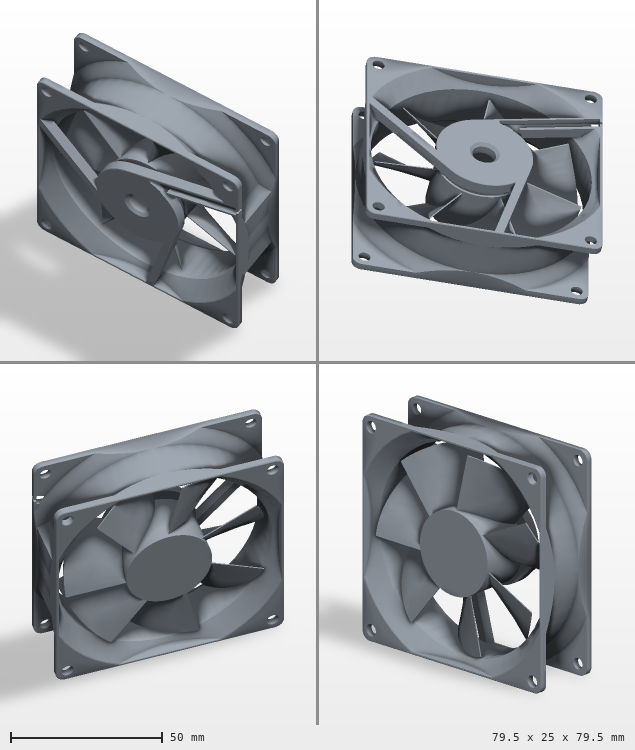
import cadquery as cq
import math

SIDE = 79.5
DEPTH = 25.0
FLANGE_THICKNESS = 2.5
CORNER_RADIUS = 3.2
EDGE_CHAMFER = 0.2
RIM_CHAMFER = 0.15
HALF_DEPTH = DEPTH / 2
FLANGE_INNER = HALF_DEPTH - FLANGE_THICKNESS

DUCT_OUTER_RADIUS = SIDE / 2
DUCT_INNER_RADIUS = 74.5 / 2
DUCT_STRAIGHT = 5.9
FLARE_OUTER_RADIUS = 43.8
MOUTH_RADIUS = 42.8
MOUTH_FLAT = 38.8
THROAT_HALF = HALF_DEPTH - (MOUTH_RADIUS - DUCT_INNER_RADIUS)

HOLE_DIAMETER = 4.0
HOLE_OFFSET = 35.8

PAD_FACE = 39.5
PAD_INNER = 35.8
PAD_FLANK_START = math.sqrt(DUCT_OUTER_RADIUS**2 - PAD_INNER**2)
PAD_HALF_HEIGHT = PAD_FLANK_START - (PAD_FACE - PAD_INNER)

PLATE_RADIUS = 16.3
PLATE_THICKNESS = 3.7
BORE_DIAMETER = 8.0
BORE_MOUTH_DIAMETER = 10.2
STRUT_WIDTH = 2.95
STRUT_REACH = SIDE
STRUT_ANGLES = (135.0, 255.0)

CABLE_ANGLE = 15.0
CABLE_STRUT_WIDTH = 5.6
CHANNEL_WALL = 0.95
CHANNEL_DEPTH = 2.0
CHANNEL_START = 9.1
CHANNEL_HUB_RADIUS = 16.7
LOWER_WALL_START = 15.1
NOTCH_END = 38.9
NOTCH_MOUTH_Z = 24.25
NOTCH_MOUTH_HEIGHT = 1.0
NOTCH_MOUTH_OVERRUN = 0.4

CUP_DIAMETER = 30.0
CUP_INNER_DIAMETER = 28.4
CUP_FRONT = -6.05
CUP_BACK = 11.45
CUP_FLOOR = 0.8
BLADE_COUNT = 7
BLADE_TIP_RADIUS = 35.8
BLADE_MID_ANGLE = 66.0
BLADE_SPREAD = 14.3
BLADE_EDGE_OFFSET = 3.2
BLADE_FRONT = -5.2
BLADE_BACK = 10.3
BLADE_SAG = 2.4
BLADE_THICKNESS = 0.5
BLADE_ROOT_RADIUS = (CUP_DIAMETER + CUP_INNER_DIAMETER) / 4
BLADE_LOFT_START = CUP_INNER_DIAMETER / 3
BLADE_LOFT_END = BLADE_TIP_RADIUS + 0.8


def cylinder(radius, y_start, y_end):
    """Cylinder on the Y axis."""
    return cq.Workplane("XZ", origin=(0, y_start, 0)).circle(radius).extrude(y_start - y_end)


def box(x_size, z_size, y_start, y_end):
    """Box centred on the Y axis."""
    return cq.Workplane("XZ", origin=(0, y_start, 0)).rect(x_size, z_size).extrude(y_start - y_end)


def revolved(points):
    """Solid of revolution about Y from (radius, y) points."""
    return cq.Workplane("XY").polyline(points).close().revolve(360, (0, 0, 0), (0, 1, 0))


def flange(y_start, y_end, outer_face):
    """Square plate with rounded corners and a chamfered outer face."""
    plate = box(SIDE, SIDE, y_start, y_end).edges("|Y").fillet(CORNER_RADIUS)
    return plate.faces(outer_face).edges().chamfer(EDGE_CHAMFER)


def pad():
    """Flat pad that fills the space between the flanges on the +X side."""
    outline = [
        (0, PAD_FLANK_START),
        (PAD_INNER, PAD_FLANK_START),
        (PAD_FACE, PAD_HALF_HEIGHT),
        (PAD_FACE, -PAD_HALF_HEIGHT),
        (PAD_INNER, -PAD_FLANK_START),
        (0, -PAD_FLANK_START),
    ]
    plane = cq.Workplane("XZ", origin=(0, FLANGE_INNER, 0))
    return plane.polyline(outline).close().extrude(2 * FLANGE_INNER)


def envelope():
    """Outside of the frame with the duct still filled."""
    duct = revolved([
        (0, -FLANGE_INNER),
        (FLARE_OUTER_RADIUS, -FLANGE_INNER),
        (DUCT_OUTER_RADIUS, -DUCT_STRAIGHT),
        (DUCT_OUTER_RADIUS, DUCT_STRAIGHT),
        (FLARE_OUTER_RADIUS, FLANGE_INNER),
        (0, FLANGE_INNER),
    ])
    duct = duct.intersect(box(SIDE, SIDE, -FLANGE_INNER, FLANGE_INNER)).union(pad())
    front = flange(-HALF_DEPTH, -FLANGE_INNER, "<Y")
    back = flange(FLANGE_INNER, HALF_DEPTH, ">Y")
    return duct.union(front).union(back)


def air_passage():
    """Throat with a conical mouth at each end, cut off flat near the flange sides."""
    passage = revolved([
        (0, -HALF_DEPTH),
        (MOUTH_RADIUS, -HALF_DEPTH),
        (DUCT_INNER_RADIUS, -THROAT_HALF),
        (DUCT_INNER_RADIUS, THROAT_HALF),
        (MOUTH_RADIUS, HALF_DEPTH),
        (0, HALF_DEPTH),
    ])
    return passage.intersect(box(2 * MOUTH_FLAT, 2 * MOUTH_FLAT, -HALF_DEPTH, HALF_DEPTH))


def mouth_rim():
    """Chamfer around the front mouth, along its flats and its round corners."""
    flats = (
        cq.Workplane("XZ", origin=(0, -HALF_DEPTH, 0))
        .rect(2 * (MOUTH_FLAT + RIM_CHAMFER), 2 * (MOUTH_FLAT + RIM_CHAMFER))
        .extrude(-RIM_CHAMFER, taper=45)
    )
    corners = revolved([
        (0, -HALF_DEPTH),
        (MOUTH_RADIUS + RIM_CHAMFER, -HALF_DEPTH),
        (MOUTH_RADIUS - RIM_CHAMFER, -HALF_DEPTH + RIM_CHAMFER),
        (0, -HALF_DEPTH + RIM_CHAMFER),
    ])
    return flats.intersect(corners)


def bar(angle, start, end, low, high, depth):
    """Bar from the front face, along a direction in XZ, between two offsets to its left."""
    return (
        cq.Workplane("XZ", origin=(0, -HALF_DEPTH, 0))
        .polyline([(start, low), (end, low), (end, high), (start, high)]).close()
        .extrude(-depth)
        .rotate((0, 0, 0), (0, 1, 0), -angle)
    )


def front_point(angle, along, offset):
    """Point on the front face, given along and to the left of a direction in XZ."""
    turn = math.radians(angle)
    return (
        along * math.cos(turn) - offset * math.sin(turn),
        -HALF_DEPTH,
        along * math.sin(turn) + offset * math.cos(turn),
    )


def chamfer_front_edges(body, points):
    """Chamfer the front face edges whose centres lie closest to the given points."""
    front = body.faces("<Y").edges()
    picked = [front.edges(cq.NearestToPointSelector(point)).val() for point in points]
    return body.newObject(picked).chamfer(RIM_CHAMFER)


def motor_mount(outside):
    """Plate and struts, trimmed to the outside of the frame."""
    mount = cylinder(PLATE_RADIUS, -HALF_DEPTH, -HALF_DEPTH + PLATE_THICKNESS)
    inner_edge = PLATE_RADIUS - STRUT_WIDTH
    for angle in STRUT_ANGLES:
        mount = mount.union(bar(angle, 0, STRUT_REACH, inner_edge, PLATE_RADIUS, PLATE_THICKNESS))
    low = PLATE_RADIUS - CABLE_STRUT_WIDTH
    mount = mount.union(bar(CABLE_ANGLE, 0, STRUT_REACH, low, PLATE_RADIUS, PLATE_THICKNESS))
    upper_left = STRUT_ANGLES[0]
    lower_middle = (STRUT_REACH + math.sqrt(PLATE_RADIUS**2 - low**2)) / 2
    rim_points = [
        front_point(CABLE_ANGLE, STRUT_REACH / 2, PLATE_RADIUS),
        front_point(CABLE_ANGLE, lower_middle, low),
        front_point(upper_left, STRUT_REACH / 2, inner_edge),
        front_point(upper_left, PLATE_RADIUS, 0),
    ]
    return chamfer_front_edges(mount, rim_points).intersect(outside)


def plate_bore():
    """Central hole through the motor plate, with a conical mouth."""
    y_front = -HALF_DEPTH
    cone_depth = (BORE_MOUTH_DIAMETER - BORE_DIAMETER) / 2
    return revolved([
        (0, y_front),
        (BORE_MOUTH_DIAMETER / 2, y_front),
        (BORE_DIAMETER / 2, y_front + cone_depth),
        (BORE_DIAMETER / 2, y_front + PLATE_THICKNESS),
        (0, y_front + PLATE_THICKNESS),
    ])


def cable_channel():
    """Groove along the cable strut, ending in a notch through the front flange."""
    high = PLATE_RADIUS - CHANNEL_WALL
    low = PLATE_RADIUS - CABLE_STRUT_WIDTH
    floor = low + CHANNEL_WALL
    groove = bar(CABLE_ANGLE, CHANNEL_START, STRUT_REACH, floor, high, CHANNEL_DEPTH)
    lead_in = bar(CABLE_ANGLE, 0, LOWER_WALL_START, low - CHANNEL_WALL, floor, CHANNEL_DEPTH)
    hub = cylinder(CHANNEL_HUB_RADIUS, -HALF_DEPTH, -FLANGE_INNER)
    channel = groove.union(lead_in).cut(hub)
    notch = bar(CABLE_ANGLE, CHANNEL_START, STRUT_REACH, floor, high, FLANGE_THICKNESS)
    notch = notch.cut(cylinder(FLARE_OUTER_RADIUS, -HALF_DEPTH, 0))
    limit = box(2 * NOTCH_END, SIDE, -HALF_DEPTH, 0)
    mouth_length = 2 * (SIDE / 2 - NOTCH_END + NOTCH_MOUTH_OVERRUN)
    mouth = (
        cq.Workplane("XZ", origin=(0, -HALF_DEPTH, 0))
        .center(SIDE / 2, NOTCH_MOUTH_Z)
        .rect(mouth_length, NOTCH_MOUTH_HEIGHT)
        .extrude(-FLANGE_THICKNESS)
    )
    return channel.union(notch).intersect(limit).union(mouth)


def build_frame():
    outside = envelope()
    front_rim = mouth_rim()
    duct = outside.cut(air_passage()).cut(front_rim).cut(front_rim.mirror("XZ"))
    frame = duct.union(motor_mount(outside))
    holes = (
        cq.Workplane("XZ", origin=(0, -HALF_DEPTH, 0))
        .rect(2 * HOLE_OFFSET, 2 * HOLE_OFFSET, forConstruction=True).vertices()
        .circle(HOLE_DIAMETER / 2).extrude(-DEPTH)
    )
    frame = frame.cut(holes)
    hole_rims = frame.faces("<Y or >Y").edges(cq.selectors.RadiusNthSelector(0))
    frame = hole_rims.chamfer(RIM_CHAMFER).cut(plate_bore()).cut(cable_channel())
    channel_top = PLATE_RADIUS - CHANNEL_WALL
    channel_bottom = PLATE_RADIUS - CABLE_STRUT_WIDTH + CHANNEL_WALL
    channel_points = [
        front_point(CABLE_ANGLE, MOUTH_RADIUS / 2, channel_top),
        front_point(CABLE_ANGLE, MOUTH_RADIUS / 2, channel_bottom),
    ]
    return chamfer_front_edges(frame, channel_points)


def blade_section(distance):
    """Bowed strip across the blade, in a plane at a distance from the axis."""
    spread = math.radians(BLADE_SPREAD)
    half = BLADE_EDGE_OFFSET / math.cos(spread) + distance * math.tan(spread)
    plane = cq.Plane(origin=(distance, 0, 0), xDir=(0, 0, 1), normal=(1, 0, 0))
    rise = BLADE_BACK - BLADE_FRONT
    length = math.hypot(2 * half, rise)
    across = (rise / length, 2 * half / length)
    middle = (BLADE_FRONT + BLADE_BACK) / 2
    inner_sag = BLADE_SAG - BLADE_THICKNESS
    bow = (across[0] * BLADE_SAG, -middle - across[1] * BLADE_SAG)
    inner_bow = (across[0] * inner_sag, -middle - across[1] * inner_sag)
    return (
        cq.Workplane(plane)
        .moveTo(half, -BLADE_FRONT)
        .threePointArc(bow, (-half, -BLADE_BACK))
        .lineTo(-half, -BLADE_BACK + BLADE_THICKNESS)
        .threePointArc(inner_bow, (half - BLADE_THICKNESS, -BLADE_FRONT))
        .close()
        .wires().val()
    )


def blade(angle):
    """One blade, from inside the cup wall to the tip circle."""
    body = cq.Solid.makeLoft([blade_section(BLADE_LOFT_START), blade_section(BLADE_LOFT_END)], True)
    ring = cylinder(BLADE_TIP_RADIUS, CUP_FRONT, CUP_BACK)
    ring = ring.cut(cylinder(BLADE_ROOT_RADIUS, CUP_FRONT, CUP_BACK))
    return cq.Workplane(body).intersect(ring).rotate((0, 0, 0), (0, 1, 0), -angle)


def build_impeller():
    """Cup open to the front, with blades around it."""
    impeller = cylinder(CUP_DIAMETER / 2, CUP_FRONT, CUP_BACK)
    impeller = impeller.cut(cylinder(CUP_INNER_DIAMETER / 2, CUP_FRONT, CUP_BACK - CUP_FLOOR))
    for index in range(BLADE_COUNT):
        impeller = impeller.union(blade(BLADE_MID_ANGLE + index * 360 / BLADE_COUNT))
    return impeller


frame = build_frame()
impeller = build_impeller()
result = cq.Compound.makeCompound([frame.val(), impeller.val()])